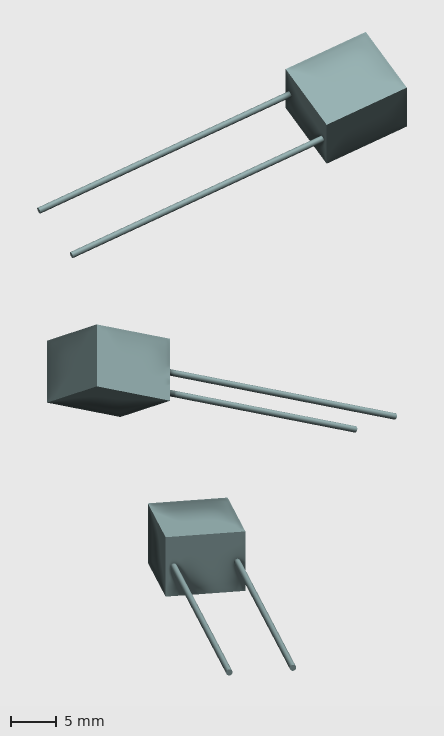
import cadquery as cq

total_length = 41.9
body_width = 8.9
body_length = 10.15
body_height = 7.0

lead_diameter = 0.7
lead_pitch = 7.1

lead_length = total_length - body_length
lead_face_y = -body_length / 2


def make_housing():
    """Plain rectangular capacitor housing, centred on the origin."""
    return cq.Workplane("XY").box(body_width, body_length, body_height)


def make_lead(x):
    """Straight round wire running from the -Y face of the housing."""
    return (
        cq.Workplane("XZ", origin=(x, lead_face_y, 0))
        .circle(lead_diameter / 2)
        .extrude(lead_length)
    )


housing = make_housing()
leads = [make_lead(side * lead_pitch / 2) for side in (-1, 1)]

result = cq.Compound.makeCompound([housing.val(), *[lead.val() for lead in leads]])